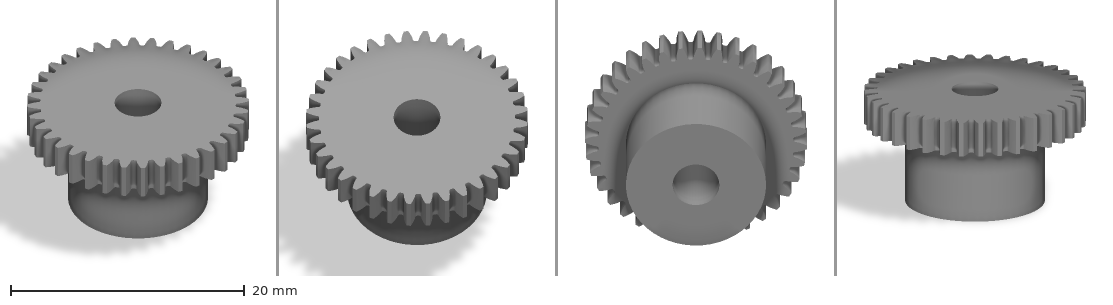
import cadquery as cq
import math

module = 0.5
tooth_count = 36
pressure_angle = math.radians(20)
addendum = module
dedendum = 1.25 * module
root_fillet = 0.38 * module
gear_width = 3.0

total_height = 10.0
hub_diameter = 12.0
bore_diameter = 4.0

hub_height = total_height - gear_width
pitch_radius = module * tooth_count / 2
base_radius = pitch_radius * math.cos(pressure_angle)
tip_radius = pitch_radius + addendum
root_radius = pitch_radius - dedendum
tooth_pitch = 2 * math.pi / tooth_count
flank_points = 6


def involute_angle(radius):
    """Polar angle an involute of the base circle has swept at a radius."""
    roll = math.sqrt((radius / base_radius) ** 2 - 1)
    return roll - math.atan(roll)


base_half_angle = tooth_pitch / 4 + involute_angle(pitch_radius)


def flank_half_angle(radius):
    """Half the angular thickness of a tooth at a radius."""
    return base_half_angle - involute_angle(radius)


fillet_centre_radius = root_radius + root_fillet
fillet_centre_angle = flank_half_angle(fillet_centre_radius) + root_fillet / base_radius
flank_start_tangent = math.sqrt(fillet_centre_radius**2 - base_radius**2) - root_fillet
flank_start_radius = math.hypot(base_radius, flank_start_tangent)


def polar(radius, angle):
    return (radius * math.cos(angle), radius * math.sin(angle))


def flank(tooth_angle, side):
    """Involute points of one flank from root to tip; side is -1 or +1."""
    step = (tip_radius - flank_start_radius) / (flank_points - 1)
    radii = [flank_start_radius + i * step for i in range(flank_points)]
    return [polar(r, tooth_angle + side * flank_half_angle(r)) for r in radii]


def fillet_middle(tooth_angle, side):
    """Point halfway along the root fillet arc beside one flank."""
    centre_x, centre_y = polar(fillet_centre_radius, tooth_angle + side * fillet_centre_angle)
    flank_x, flank_y = flank(tooth_angle, side)[0]
    root_x, root_y = polar(root_radius, tooth_angle + side * fillet_centre_angle)
    middle_x = (flank_x + root_x) / 2 - centre_x
    middle_y = (flank_y + root_y) / 2 - centre_y
    scale = root_fillet / math.hypot(middle_x, middle_y)
    return (centre_x + middle_x * scale, centre_y + middle_y * scale)


def add_tooth(outline, tooth_angle):
    """Continue the outline over one tooth and the root arc after it."""
    rising = flank(tooth_angle, -1)
    falling = flank(tooth_angle, 1)[::-1]
    root_end = polar(root_radius, tooth_angle + fillet_centre_angle)
    root_middle = polar(root_radius, tooth_angle + tooth_pitch / 2)
    next_root = polar(root_radius, tooth_angle + tooth_pitch - fillet_centre_angle)
    return (
        outline.threePointArc(fillet_middle(tooth_angle, -1), rising[0])
        .spline(rising[1:], includeCurrent=True)
        .threePointArc(polar(tip_radius, tooth_angle), falling[0])
        .spline(falling[1:], includeCurrent=True)
        .threePointArc(fillet_middle(tooth_angle, 1), root_end)
        .threePointArc(root_middle, next_root)
    )


def make_gear():
    first_tooth = tooth_pitch / 2
    start = polar(root_radius, first_tooth - fillet_centre_angle)
    outline = cq.Workplane("XY").workplane(offset=hub_height).moveTo(*start)
    for tooth in range(tooth_count):
        outline = add_tooth(outline, first_tooth + tooth * tooth_pitch)
    return outline.close().extrude(gear_width)


def make_hub():
    return cq.Workplane("XY").circle(hub_diameter / 2).extrude(hub_height)


def make_bore():
    return cq.Workplane("XY").circle(bore_diameter / 2).extrude(total_height)


result = make_gear().union(make_hub()).cut(make_bore())